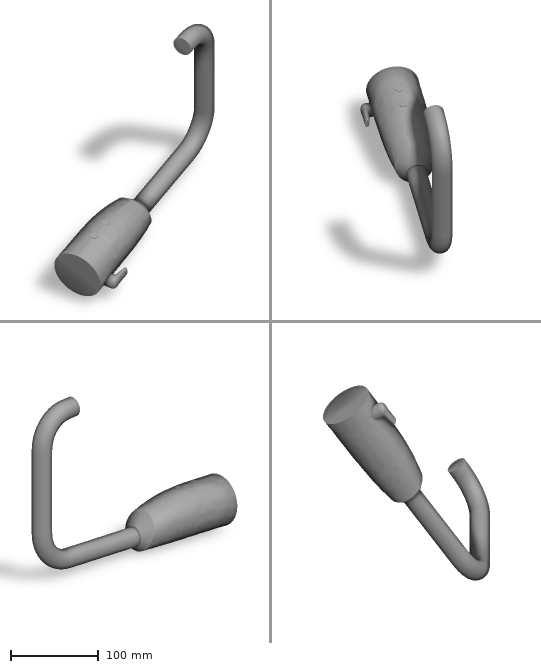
import cadquery as cq
import math

total_length = 292.7
tube_radius = 11.7
tube_axis_z = -12.0
bend_radius = 40.0
riser_length = 99.8
outlet_length = 12.5
outlet_bend_angle = 85.0

body_radius = 30.7
collar_end_y = 136.0
collar_end_radius = 13.2
collar_top_y = 120.0
collar_bottom_y = 131.0
joint_overlap = 3.0

button_radius = 4.7
button_depth = 4.5
buttons = [(38.0, 31.3), (63.0, 30.0)]

lever_y = 21.5
lever_z = -11.0
lever_end_x = 41.0
stub_radius = 8.2
stub_start_x = 20.5
stub_rounding = 5.9
handle_root_thickness = 9.5
handle_tip_thickness = 5.3
handle_root_width = 15.2
handle_tip_width = 11.7
handle_tip_y = 43.5
handle_tip_rounding = 1.0


def collar_radius(y):
    """Radius of the 45 degree collar cone at a place along Y."""
    return collar_end_radius + collar_end_y - y


collar_top = (collar_top_y, tube_axis_z + collar_radius(collar_top_y))
collar_bottom = (collar_bottom_y, tube_axis_z - collar_radius(collar_bottom_y))


def collar_half_width():
    """Half width of the ellipse where the tilted plane cuts the collar cone."""
    middle_y = (collar_top[0] + collar_bottom[0]) / 2
    middle_z = (collar_top[1] + collar_bottom[1]) / 2
    return math.sqrt(collar_radius(middle_y) ** 2 - (middle_z - tube_axis_z) ** 2)


def tilted_plane(top, bottom):
    """Plane through two (y, z) points, facing +Y, with its local Y pointing to the top."""
    rise_y = top[0] - bottom[0]
    rise_z = top[1] - bottom[1]
    centre = (0, (top[0] + bottom[0]) / 2, (top[1] + bottom[1]) / 2)
    return cq.Plane(origin=centre, xDir=(-1, 0, 0), normal=(0, rise_z, -rise_y))


def body_section(top, bottom, half_width):
    """Elliptical wire spanning two (y, z) points."""
    half_height = math.dist(top, bottom) / 2
    plane = tilted_plane(top, bottom)
    return cq.Wire.makeEllipse(half_height, half_width, plane.origin, plane.zDir, plane.yDir)


def make_body():
    lean = collar_bottom_y / collar_top_y
    sections = [
        ((0.0, body_radius), -body_radius, body_radius),
        ((35.0, 30.7), -30.5, 30.5),
        ((67.3, 29.3), -30.5, 29.9),
        ((96.5, 24.0), -30.0, 27.5),
        (collar_top, collar_bottom[1], collar_half_width()),
    ]
    wires = [body_section(top, (top[0] * lean, low), wide) for top, low, wide in sections]
    return cq.Workplane(cq.Solid.makeLoft(wires))


def make_collar():
    cone_start_y = collar_top_y - joint_overlap
    cone = cq.Solid.makeCone(
        collar_radius(cone_start_y),
        collar_end_radius,
        collar_end_y - cone_start_y,
        cq.Vector(0, cone_start_y, tube_axis_z),
        cq.Vector(0, 1, 0),
    )
    beyond_joint = (
        cq.Workplane(tilted_plane(collar_top, collar_bottom))
        .rect(total_length, total_length)
        .extrude(total_length)
    )
    return cq.Workplane(cone).intersect(beyond_joint)


def make_tube():
    riser_y = total_length - tube_radius
    bend_y = riser_y - bend_radius
    riser_bottom_z = tube_axis_z + bend_radius
    riser_top_z = riser_bottom_z + riser_length

    def on_bend(centre_z, angle):
        turn = math.radians(angle)
        return (bend_y + bend_radius * math.cos(turn), centre_z + bend_radius * math.sin(turn))

    outlet_start = on_bend(riser_top_z, outlet_bend_angle)
    outlet_turn = math.radians(outlet_bend_angle)
    outlet_end = (
        outlet_start[0] - outlet_length * math.sin(outlet_turn),
        outlet_start[1] + outlet_length * math.cos(outlet_turn),
    )
    tube_start_y = collar_end_y - joint_overlap
    path = (
        cq.Workplane("YZ")
        .moveTo(tube_start_y, tube_axis_z)
        .lineTo(bend_y, tube_axis_z)
        .threePointArc(on_bend(riser_bottom_z, -45), (riser_y, riser_bottom_z))
        .lineTo(riser_y, riser_top_z)
        .threePointArc(on_bend(riser_top_z, outlet_bend_angle / 2), outlet_start)
        .lineTo(*outlet_end)
    )
    start = cq.Workplane("XZ", origin=(0, tube_start_y, tube_axis_z))
    return start.circle(tube_radius).sweep(path)


def make_button(y, top_z):
    base = cq.Workplane("XY", origin=(0, y, top_z - button_depth))
    return base.circle(button_radius).extrude(button_depth)


def make_lever():
    stub = (
        cq.Workplane("YZ", origin=(stub_start_x, lever_y, lever_z))
        .circle(stub_radius)
        .extrude(lever_end_x - stub_start_x)
        .faces(">X")
        .edges()
        .fillet(stub_rounding)
    )

    def handle_section(y, thickness, width):
        centre = cq.Vector(lever_end_x - thickness / 2, y, lever_z)
        along_y = cq.Vector(0, 1, 0)
        across_z = cq.Vector(0, 0, 1)
        return cq.Wire.makeEllipse(width / 2, thickness / 2, centre, along_y, across_z)

    root = handle_section(lever_y, handle_root_thickness, handle_root_width)
    tip = handle_section(handle_tip_y, handle_tip_thickness, handle_tip_width)
    handle = cq.Workplane(cq.Solid.makeLoft([root, tip], True))
    handle = handle.faces(">Y").edges().fillet(handle_tip_rounding)
    return stub.union(handle)


result = make_body().union(make_collar()).union(make_tube()).union(make_lever())
for button_y, button_top in buttons:
    result = result.union(make_button(button_y, button_top))